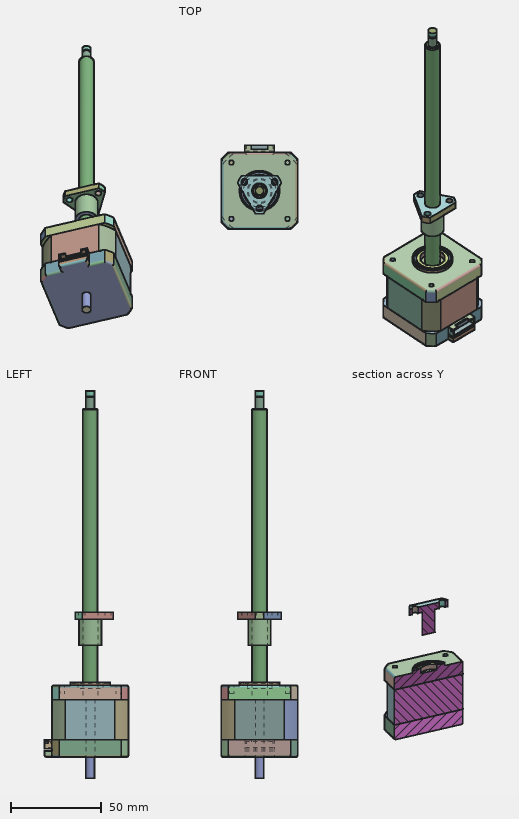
import cadquery as cq
import math

TOTAL_LENGTH = 213.2

MOTOR_WIDTH = 42.2
MOTOR_BOTTOM = 11.7
REAR_CAP_HEIGHT = 9.5
STATOR_HEIGHT = 22.0
FRONT_CAP_HEIGHT = 7.9
CAP_FLAT_WIDTH = 34.1
CAP_RIM_RADIUS = 1.17
STATOR_FLAT_WIDTH = 27.3

BOSS_DIAMETER = 22.2
BOSS_HEIGHT = 1.7
BOSS_GROOVE_OUTER_DIAMETER = 20.5
BOSS_GROOVE_INNER_DIAMETER = 18.0
BOSS_GROOVE_DEPTH = 0.5
BOSS_RECESS_DIAMETER = 13.6
BOSS_RECESS_DEPTH = 3.2
MOUNT_HOLE_PITCH = 31.0
MOUNT_HOLE_DIAMETER = 2.5
MOUNT_HOLE_DEPTH = 4.5

OVERALL_DEPTH = 46.3
CONNECTOR_WIDTH = 16.5
SHELF_HEIGHT = 3.5
SHELF_GAP = 1.0
CONNECTOR_WALL = 0.9
CONNECTOR_CAVITY_DEPTH = 3.2
TOP_CUTOUT_WIDTH = 9.0
TOP_CUTOUT_DEPTH = 2.3
SIDE_WINDOW_SIZE = 1.0
SIDE_WINDOW_TO_EDGE = 0.9

REAR_SHAFT_DIAMETER = 5.0
SCREW_DIAMETER = 8.3
SCREW_CHAMFER = 0.6
SCREW_TOP = 203.5
JOURNAL_DIAMETER = 5.0
GROOVE_DIAMETER = 4.7
GROOVE_WIDTH = 0.6
GROOVE_TO_END = 3.0

NUT_BOTTOM = 73.1
NUT_BODY_DIAMETER = 12.5
NUT_BODY_LENGTH = 14.3
FLANGE_THICKNESS = 4.0
FLANGE_CORNERS = 3
FLANGE_BOLT_RADIUS = 9.5
FLANGE_DIAMETER = 25.5
FLANGE_SIDE_TO_AXIS = 8.3
FLANGE_HOLE_DIAMETER = 3.5

HALF_WIDTH = MOTOR_WIDTH / 2
STATOR_BOTTOM = MOTOR_BOTTOM + REAR_CAP_HEIGHT
STATOR_TOP = STATOR_BOTTOM + STATOR_HEIGHT
MOTOR_TOP = STATOR_TOP + FRONT_CAP_HEIGHT
BOSS_TOP = MOTOR_TOP + BOSS_HEIGHT
FLANGE_BOTTOM = NUT_BOTTOM + NUT_BODY_LENGTH
FLANGE_TOP = FLANGE_BOTTOM + FLANGE_THICKNESS
CONNECTOR_DEPTH = OVERALL_DEPTH - MOTOR_WIDTH
CONNECTOR_BOTTOM = MOTOR_BOTTOM + SHELF_HEIGHT + SHELF_GAP
CONNECTOR_HEIGHT = STATOR_BOTTOM - CONNECTOR_BOTTOM
CONNECTOR_BACK = HALF_WIDTH + CONNECTOR_DEPTH


def cylinder(diameter, bottom, top):
    """Solid cylinder on the Z axis between two heights."""
    return cq.Workplane("XY").workplane(offset=bottom).circle(diameter / 2).extrude(top - bottom)


def ring(outer_diameter, inner_diameter, bottom, top):
    """Round tube on the Z axis between two heights."""
    return cylinder(outer_diameter, bottom, top).cut(cylinder(inner_diameter, bottom, top))


def motor_block(bottom, height, flat_width):
    """Square block whose corners are rounded about the motor axis, leaving flats of the given width."""
    corner_diameter = math.hypot(MOTOR_WIDTH, flat_width)
    block = cq.Workplane("XY").workplane(offset=bottom).rect(MOTOR_WIDTH, MOTOR_WIDTH).extrude(height)
    return block.intersect(cylinder(corner_diameter, bottom, bottom + height))


def back_block(width, depth, height, back, bottom):
    """Box centred on X, ending at the given +Y position and standing on the given height."""
    box = cq.Workplane("XY").box(width, depth, height, centered=(True, False, False))
    return box.translate((0, back - depth, bottom))


def make_rear_cap():
    """Cap under the stator, with a shelf reaching out below the connector."""
    cap = motor_block(MOTOR_BOTTOM, REAR_CAP_HEIGHT, CAP_FLAT_WIDTH)
    shelf = back_block(CONNECTOR_WIDTH, CONNECTOR_BACK, SHELF_HEIGHT, CONNECTOR_BACK, MOTOR_BOTTOM)
    cap = cap.union(shelf).faces("<Z").edges().fillet(CAP_RIM_RADIUS)
    return cap.cut(cylinder(REAR_SHAFT_DIAMETER, MOTOR_BOTTOM, STATOR_BOTTOM))


def make_stator():
    """Middle of the motor, between the two caps."""
    stator = motor_block(STATOR_BOTTOM, STATOR_HEIGHT, STATOR_FLAT_WIDTH)
    return stator.cut(cylinder(REAR_SHAFT_DIAMETER, STATOR_BOTTOM, STATOR_TOP))


def make_front_cap():
    """Cap above the stator, with a grooved and recessed boss and four mounting holes."""
    cap = motor_block(STATOR_TOP, FRONT_CAP_HEIGHT, CAP_FLAT_WIDTH)
    cap = cap.faces(">Z").edges().fillet(CAP_RIM_RADIUS)
    boss = cylinder(BOSS_DIAMETER, MOTOR_TOP, BOSS_TOP)
    groove_floor = BOSS_TOP - BOSS_GROOVE_DEPTH
    boss_groove = ring(BOSS_GROOVE_OUTER_DIAMETER, BOSS_GROOVE_INNER_DIAMETER, groove_floor, BOSS_TOP)
    recess = cylinder(BOSS_RECESS_DIAMETER, BOSS_TOP - BOSS_RECESS_DEPTH, BOSS_TOP)
    mount_holes = (
        cq.Workplane("XY")
        .workplane(offset=MOTOR_TOP - MOUNT_HOLE_DEPTH)
        .rect(MOUNT_HOLE_PITCH, MOUNT_HOLE_PITCH, forConstruction=True)
        .vertices()
        .circle(MOUNT_HOLE_DIAMETER / 2)
        .extrude(MOUNT_HOLE_DEPTH)
    )
    screw_hole = cylinder(SCREW_DIAMETER, STATOR_TOP, BOSS_TOP)
    return cap.union(boss).cut(boss_groove).cut(recess).cut(mount_holes).cut(screw_hole)


def make_connector():
    """Socket open toward +Y, with a cutout in its top wall and a small window in each side wall."""
    block = back_block(CONNECTOR_WIDTH, CONNECTOR_DEPTH, CONNECTOR_HEIGHT, CONNECTOR_BACK, CONNECTOR_BOTTOM)
    cavity = back_block(
        CONNECTOR_WIDTH - 2 * CONNECTOR_WALL,
        CONNECTOR_CAVITY_DEPTH,
        CONNECTOR_HEIGHT - 2 * CONNECTOR_WALL,
        CONNECTOR_BACK,
        CONNECTOR_BOTTOM + CONNECTOR_WALL,
    )
    top_cutout = back_block(
        TOP_CUTOUT_WIDTH, TOP_CUTOUT_DEPTH, CONNECTOR_WALL, CONNECTOR_BACK, STATOR_BOTTOM - CONNECTOR_WALL
    )
    side_windows = back_block(
        CONNECTOR_WIDTH,
        SIDE_WINDOW_SIZE,
        SIDE_WINDOW_SIZE,
        CONNECTOR_BACK - SIDE_WINDOW_TO_EDGE,
        STATOR_BOTTOM - SIDE_WINDOW_TO_EDGE - SIDE_WINDOW_SIZE,
    )
    return block.cut(cavity).cut(top_cutout).cut(side_windows)


def make_screw():
    """Lead screw with a thin rear shaft and a grooved end journal."""
    rear_shaft = cylinder(REAR_SHAFT_DIAMETER, 0, STATOR_TOP)
    thread = cylinder(SCREW_DIAMETER, STATOR_TOP, SCREW_TOP).faces(">Z").chamfer(SCREW_CHAMFER)
    journal = cylinder(JOURNAL_DIAMETER, SCREW_TOP, TOTAL_LENGTH)
    groove_bottom = TOTAL_LENGTH - GROOVE_TO_END - GROOVE_WIDTH
    groove = ring(JOURNAL_DIAMETER, GROOVE_DIAMETER, groove_bottom, groove_bottom + GROOVE_WIDTH)
    return rear_shaft.union(thread).union(journal).cut(groove)


def make_nut():
    """Round nut with a triangular flange whose corners are turned round, one corner toward -Y."""
    holes = (
        cq.Workplane("XY")
        .workplane(offset=FLANGE_BOTTOM)
        .polarArray(FLANGE_BOLT_RADIUS, -90, 360, FLANGE_CORNERS)
        .circle(FLANGE_HOLE_DIAMETER / 2)
        .extrude(FLANGE_THICKNESS)
    )
    triangle = (
        cq.Workplane("XY")
        .workplane(offset=FLANGE_BOTTOM)
        .transformed(rotate=(0, 0, -90))
        .polygon(FLANGE_CORNERS, 4 * FLANGE_SIDE_TO_AXIS)
        .extrude(FLANGE_THICKNESS)
    )
    flange = triangle.intersect(cylinder(FLANGE_DIAMETER, FLANGE_BOTTOM, FLANGE_TOP))
    body = cylinder(NUT_BODY_DIAMETER, NUT_BOTTOM, FLANGE_BOTTOM)
    bore = cylinder(SCREW_DIAMETER, NUT_BOTTOM, FLANGE_TOP)
    return body.union(flange).cut(holes).cut(bore)


rear_cap = make_rear_cap()
stator = make_stator()
front_cap = make_front_cap()
connector = make_connector()
screw = make_screw()
nut = make_nut()

result = cq.Compound.makeCompound([
    rear_cap.solids().val(),
    stator.solids().val(),
    front_cap.solids().val(),
    connector.solids().val(),
    screw.solids().val(),
    nut.solids().val(),
])